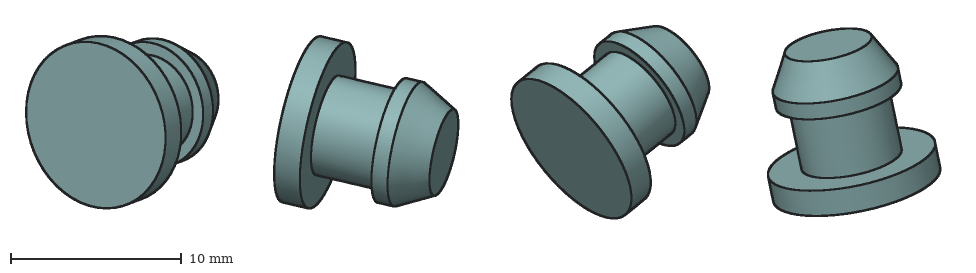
import cadquery as cq

head_diameter = 10.0
head_thickness = 1.6
shank_diameter = 6.0
shank_length = 4.0
collar_diameter = 7.5
collar_length = 1.0
tip_diameter = 5.2
overall_length = 8.8

shank_start = head_thickness
collar_start = shank_start + shank_length
taper_start = collar_start + collar_length


def plug_half_profile():
    """Half section on the -X side of the axis, from the head face to the tip."""
    return (
        cq.Workplane("XY")
        .moveTo(0, 0)
        .lineTo(-head_diameter / 2, 0)
        .lineTo(-head_diameter / 2, shank_start)
        .lineTo(-shank_diameter / 2, shank_start)
        .lineTo(-shank_diameter / 2, collar_start)
        .lineTo(-collar_diameter / 2, collar_start)
        .lineTo(-collar_diameter / 2, taper_start)
        .lineTo(-tip_diameter / 2, overall_length)
        .lineTo(0, overall_length)
        .close()
    )


result = plug_half_profile().revolve(360, (0, 0, 0), (0, 1, 0))